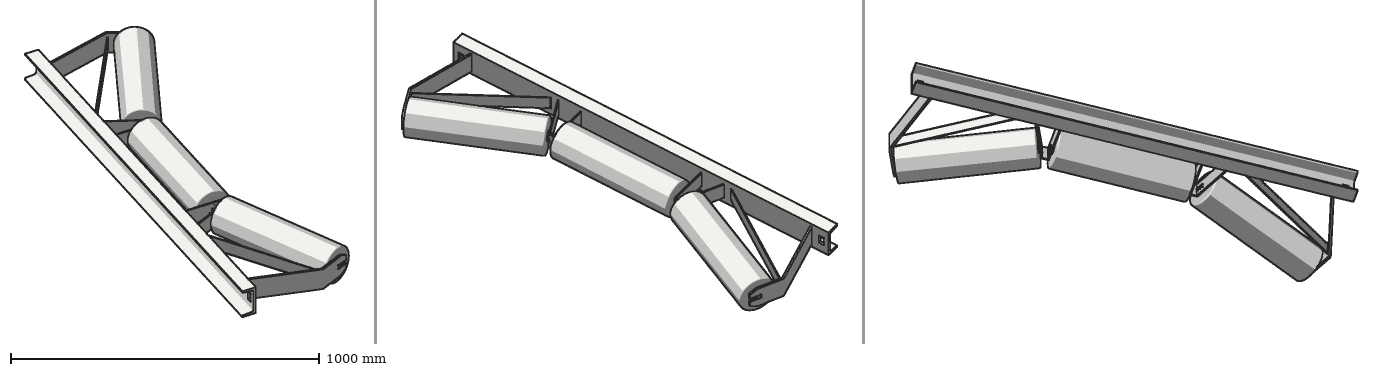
import cadquery as cq
import math

beam_length = 1500.0
beam_height = 104.0
beam_depth = 50.0
web_thickness = 9.0
flange_root = 10.0
flange_toe = 8.0
root_radius = 8.0
toe_radius = 5.0
window_width = 20.0
window_height = 32.0
window_inset = 28.0

roller_diameter = 134.0
roller_length = 465.0
roller_rim_fillet = 5.0
hub_diameter = 36.0
spindle_diameter = 16.0
spindle_flat_width = 14.0
inner_gap = 6.0
outer_gap = 3.8
trough_angle = 25.0
centre_roller_y = 166.0
wing_roller_x = 490.0
wing_roller_y = 276.0

outer_width = 78.0
inner_width = 60.0
outer_plate = 8.0
inner_plate = 5.0
outer_leg_angle = 15.0
outer_bend_y = 295.0
outer_bend_radius = 6.0
outer_tip_rise = 35.0
tip_chamfer_along = 27.0
tip_chamfer_across = 14.0
inner_top_y = 195.0
strut_width = 48.0
strut_thickness = 3.8
strut_foot_x = 358.0
strut_head_y = 298.0

spindle_radius = spindle_diameter / 2
inner_face = roller_length / 2 + inner_gap
outer_face = roller_length / 2 + outer_gap
trough = math.radians(trough_angle)
leg_lean = math.radians(outer_leg_angle)
wing_out = (math.cos(trough), math.sin(trough))
wing_up = (-math.sin(trough), math.cos(trough))


def wing_point(along, up):
    """XY point given along and square to the right wing roller's axis, from the roller's centre."""
    return (
        wing_roller_x + along * wing_out[0] + up * wing_up[0],
        wing_roller_y + along * wing_out[1] + up * wing_up[1],
    )


def wing_point_at_y(along, y):
    """Point at height y on the line square to the right wing axis at the given place."""
    up = (y - wing_point(along, 0)[1]) / wing_up[1]
    return wing_point(along, up)


def mirror_pair(right_solid):
    return [right_solid, right_solid.mirror("YZ")]


def extruded(points, width):
    return cq.Workplane("XY").workplane(offset=-width / 2).polyline(points).close().extrude(width)


def on_wing(body):
    """Move a body made around the origin along X to the right wing roller's place."""
    return body.rotate((0, 0, 0), (0, 0, 1), trough_angle).translate((wing_roller_x, wing_roller_y, 0))


def make_beam():
    half_height = beam_height / 2
    web_y = beam_depth - web_thickness
    root_z = half_height - flange_root
    toe_z = half_height - flange_toe
    profile = [
        (0, half_height),
        (beam_depth, half_height),
        (beam_depth, -half_height),
        (0, -half_height),
        (0, -toe_z),
        (web_y, -root_z),
        (web_y, root_z),
        (0, toe_z),
    ]
    beam = cq.Workplane("YZ").polyline(profile).close().extrude(beam_length)
    beam = beam.translate((-beam_length / 2, 0, 0))
    for y, z, radius in ((web_y, root_z, root_radius), (0, toe_z, toe_radius)):
        for side in (-1, 1):
            beam = beam.edges(cq.selectors.NearestToPointSelector((0, y, side * z))).fillet(radius)
    window_x = beam_length / 2 - window_inset
    windows = (
        cq.Workplane("XZ")
        .pushPoints([(-window_x, 0), (window_x, 0)])
        .rect(window_width, window_height)
        .extrude(-beam_depth)
    )
    return beam.cut(windows)


def cylinder_along_x(diameter, start, end):
    return cq.Workplane("YZ").workplane(offset=start).circle(diameter / 2).extrude(end - start)


def make_roller(minus_hub_end, minus_plate, plus_hub_end, plus_plate):
    drum = cylinder_along_x(roller_diameter, -roller_length / 2, roller_length / 2)
    drum = drum.edges().fillet(roller_rim_fillet)
    hub = cylinder_along_x(hub_diameter, -minus_hub_end, plus_hub_end)
    flats = cq.Workplane("XY").box(2 * roller_length, spindle_diameter, spindle_flat_width)
    spindle = cylinder_along_x(spindle_diameter, -minus_hub_end - minus_plate, plus_hub_end + plus_plate)
    return drum.union(hub).union(spindle.intersect(flats))


def make_slot(start, length):
    slot_depth = roller_diameter
    return (
        cq.Workplane("XY")
        .box(length, slot_depth, spindle_flat_width)
        .translate((start + length / 2, slot_depth / 2 - spindle_radius, 0))
    )


def make_outer_bracket():
    far_face = outer_face + outer_plate
    inner_bend = wing_point_at_y(outer_face, outer_bend_y)
    bisector = (trough - leg_lean) / 2
    half_turn = (trough + leg_lean) / 2
    reach = outer_plate / math.cos(half_turn)
    outer_bend = (inner_bend[0] + reach * math.cos(bisector), inner_bend[1] + reach * math.sin(bisector))

    def foot(corner):
        return (corner[0] - (corner[1] - beam_depth) * math.tan(leg_lean), beam_depth)

    outline = [
        foot(inner_bend),
        foot(outer_bend),
        outer_bend,
        wing_point(far_face, outer_tip_rise),
        wing_point(outer_face, outer_tip_rise),
        inner_bend,
    ]
    plate = extruded(outline, outer_width)
    plate = plate.edges(cq.selectors.NearestToPointSelector((*inner_bend, 0))).fillet(outer_bend_radius)
    plate = plate.edges(cq.selectors.NearestToPointSelector((*outer_bend, 0))).fillet(
        outer_bend_radius + outer_plate
    )
    half_width = outer_width / 2
    corner = (
        cq.Workplane("YZ")
        .workplane(offset=outer_face - outer_gap)
        .moveTo(outer_tip_rise, half_width)
        .lineTo(outer_tip_rise - tip_chamfer_along, half_width)
        .lineTo(outer_tip_rise, half_width - tip_chamfer_across)
        .close()
        .extrude(outer_plate + 2 * outer_gap)
    )
    corners = corner.union(corner.mirror("XY"))
    return plate.cut(on_wing(corners)).cut(on_wing(make_slot(outer_face, outer_plate)))


def make_inner_bracket():
    centre_near = inner_face
    centre_far = inner_face + inner_plate
    wing_near = -inner_face
    wing_far = -inner_face - inner_plate
    under_top_y = inner_top_y - inner_plate
    outline = [
        (centre_near, beam_depth),
        (centre_near, inner_top_y),
        wing_point_at_y(wing_near, inner_top_y),
        wing_point_at_y(wing_near, beam_depth),
        wing_point_at_y(wing_far, beam_depth),
        wing_point_at_y(wing_far, under_top_y),
        (centre_far, under_top_y),
        (centre_far, beam_depth),
    ]
    plate = extruded(outline, inner_width)
    centre_slot = make_slot(centre_near, inner_plate).translate((0, centre_roller_y, 0))
    wing_slot = on_wing(make_slot(wing_far, inner_plate))
    return plate.cut(centre_slot).cut(wing_slot)


def make_strut(outer_bracket):
    head = wing_point_at_y(outer_face + outer_plate / 2, strut_head_y)
    rise = head[1] - beam_depth
    lean = math.atan2(rise, head[0] - strut_foot_x)
    foot_width = strut_thickness / math.sin(lean)
    outline = [
        (strut_foot_x, beam_depth),
        (strut_foot_x + foot_width, beam_depth),
        head,
        (head[0] - foot_width, head[1]),
    ]
    return extruded(outline, strut_width).cut(outer_bracket)


beam = make_beam()
centre_roller = make_roller(inner_face, inner_plate, inner_face, inner_plate)
centre_roller = centre_roller.translate((0, centre_roller_y, 0))
wing_rollers = mirror_pair(on_wing(make_roller(inner_face, inner_plate, outer_face, outer_plate)).val())
outer_bracket = make_outer_bracket()
outer_brackets = mirror_pair(outer_bracket.val())
inner_brackets = mirror_pair(make_inner_bracket().val())
struts = mirror_pair(make_strut(outer_bracket).val())

result = cq.Compound.makeCompound(
    [beam.val(), centre_roller.val(), *wing_rollers, *outer_brackets, *inner_brackets, *struts]
)